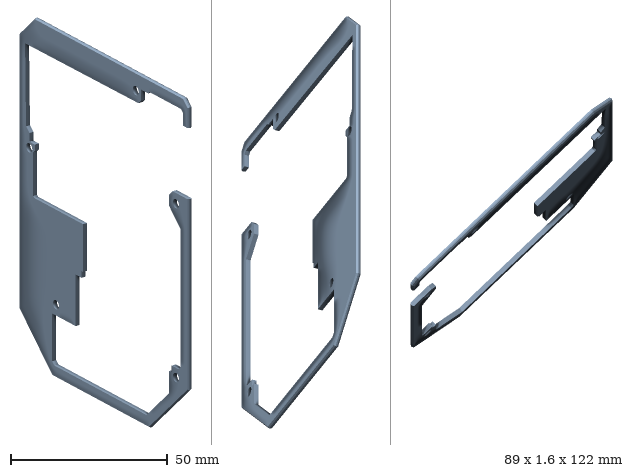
import cadquery as cq
import math

width = 89.0
height = 122.0
thickness = 1.6

top_left_cut = 8.4
top_right_cut = 2.6
bottom_left_cut = 17.5
bottom_right_cut = 20.5

bevel_inset = 0.4
bevel_depth = 0.55

gap_bottom = 87.4
gap_top = 112.2

hook_inner_x = 86.3
hook_corner_cut = 1.0
rail_underside = 117.7
rail_step = 0.7
rail_step_x = 68.8
top_pad_right = 64.3
top_pad_bottom = 111.8
top_pad_cut = 1.3

left_top_x = 3.3
left_top_z = 111.4
left_lean_x = 3.8
left_lean_z = 82.5
left_step_x = 5.6
left_step_z = 80.8
tab_right = 8.4
tab_top = 77.7
tab_bottom = 75.5
tab_cut = 0.9
left_lower_x = tab_right - tab_cut

plate_top = 58.9
plate_corner_cut = 0.5
plate_right = 33.8
plate_notch_x = 33.1
plate_notch_top = 42.2
plate_notch_bottom = 39.9
plate_lower_right = 29.9
plate_bottom = 21.8

bottom_inner_left = 17.6
bottom_inner_z = 4.0
bottom_corner_cut = 1.1
bottom_inner_right = 67.1

right_inner_x = 85.0
right_pad_x = 78.9
lower_pad_start_z = bottom_inner_z + (right_pad_x - bottom_inner_right)
lower_pad_step_x = 80.4
lower_pad_step_z = 23.7
lower_pad_top = 26.1
lower_pad_cut = 1.1
ear_bottom = 75.5
ear_slope = right_inner_x - right_pad_x
ear_corner_cut = 2.0

hole_diameter = 3.2
hole_centers = [
    (61.5, 115.7),
    (5.5, 75.5),
    (19.5, 25.6),
    (82.6, 22.7),
    (82.6, 83.6),
]

inner_edge = [
    (hook_inner_x, gap_top),
    (hook_inner_x, rail_underside - hook_corner_cut),
    (hook_inner_x - hook_corner_cut, rail_underside),
    (rail_step_x, rail_underside),
    (rail_step_x - rail_step, rail_underside - rail_step),
    (top_pad_right, rail_underside - rail_step),
    (top_pad_right, top_pad_bottom + top_pad_cut),
    (top_pad_right - top_pad_cut, top_pad_bottom),
    (left_top_x, left_top_z),
    (left_lean_x, left_lean_z),
    (left_step_x, left_step_z),
    (left_step_x, tab_top),
    (tab_right, tab_top),
    (tab_right, tab_bottom),
    (left_lower_x, tab_bottom - tab_cut),
    (left_lower_x, plate_top + plate_corner_cut),
    (left_lower_x + plate_corner_cut, plate_top),
    (plate_right, plate_top),
    (plate_right, plate_notch_top),
    (plate_notch_x, plate_notch_top),
    (plate_notch_x, plate_notch_bottom),
    (plate_lower_right, plate_notch_bottom),
    (plate_lower_right, plate_bottom),
    (bottom_inner_left, plate_bottom),
    (bottom_inner_left, bottom_inner_z + bottom_corner_cut),
    (bottom_inner_left + bottom_corner_cut, bottom_inner_z),
    (bottom_inner_right, bottom_inner_z),
    (right_pad_x, lower_pad_start_z),
    (right_pad_x, lower_pad_step_z),
    (lower_pad_step_x, lower_pad_step_z),
    (lower_pad_step_x, lower_pad_top),
    (right_inner_x - lower_pad_cut, lower_pad_top),
    (right_inner_x, lower_pad_top + lower_pad_cut),
    (right_inner_x, ear_bottom),
    (right_pad_x, ear_bottom + ear_slope),
    (right_pad_x, gap_bottom - ear_corner_cut),
    (right_pad_x + ear_corner_cut, gap_bottom),
]

outer_outline = [
    (bottom_left_cut, 0),
    (width - bottom_right_cut, 0),
    (width, bottom_right_cut),
    (width, height - top_right_cut),
    (width - top_right_cut, height),
    (top_left_cut, height),
    (0, height - top_left_cut),
    (0, bottom_left_cut),
]


def prism(points, depth):
    """Extrude an X-Z outline symmetrically about the Y = 0 plane."""
    return cq.Workplane("XZ").polyline(points).close().extrude(depth / 2, both=True)


def tapered_half(direction):
    """Half of the plate, from the middle plane to the face on one side in Y."""
    ridge_half = thickness / 2 - bevel_depth
    rim = cq.Workplane("XZ").polyline(outer_outline).close()
    ridge = rim.extrude(direction * ridge_half)
    inset_angle = math.degrees(math.atan2(bevel_inset, bevel_depth))
    base = cq.Workplane("XZ", origin=(0, -direction * ridge_half, 0)).polyline(outer_outline).close()
    return ridge.union(base.extrude(direction * bevel_depth, taper=inset_angle))


def beveled_plate():
    """Solid plate with the outer rim beveled on both faces."""
    return tapered_half(1).union(tapered_half(-1))


def opening():
    """Central window together with the gap through the right side."""
    beyond_rim = width + thickness
    gap_side = [(beyond_rim, gap_bottom), (beyond_rim, gap_top)]
    return prism(inner_edge + gap_side, 2 * thickness)


def screw_holes():
    """Round cutters at all the screw positions."""
    holes = cq.Workplane("XZ").pushPoints(hole_centers).circle(hole_diameter / 2)
    return holes.extrude(thickness, both=True)


result = beveled_plate().cut(opening()).cut(screw_holes())